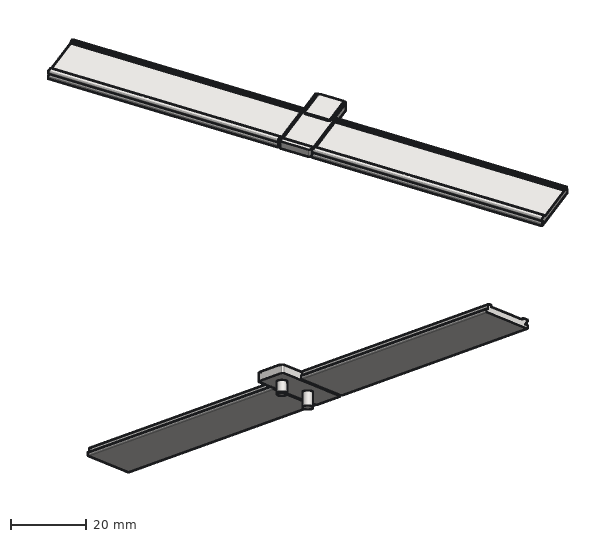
import cadquery as cq
import math

bar_length = 145.0
bar_width = 16.0
bar_height = 2.6
tray_depth = 0.51
tray_z = bar_height - tray_depth
lip_width = 1.7
lip_slope_width = 0.3
tray_front = lip_width + lip_slope_width
tray_back = bar_width - tray_front

flange_height = 1.1
flange_fillet = 0.23
groove_slope = 35.0
front_lip_fillet = 0.26
back_step = 0.51
back_lip_fillet = 0.51

block_width = 9.0
block_depth = 22.5
block_drop = 0.1
block_height = bar_height - block_drop
block_corner = 0.51
block_lip_width = 1.5
tab_depth = 7.8
tab_front = block_depth - tab_depth

pad_width = 7.5
pad_depth = 8.8
pad_corner = 0.51

slit_width = 0.51
skin = 0.22

pin_diameter = 2.9
pin_pitch = 10.0
front_pin_y = bar_width / 2
front_pin_length = 4.4
back_pin_length = 3.6
back_pin_chamfer = 0.3


def box(width, y_start, y_end, z_start, z_end):
    """Box centred on X = 0 between the given Y and Z limits."""
    size_y = y_end - y_start
    size_z = z_end - z_start
    solid = cq.Workplane("XY").box(width, size_y, size_z, centered=(True, False, False))
    return solid.translate((0, y_start, z_start))


def make_tray_space(width):
    """Open space over the tray floor from the block's sloping front lip to the tab."""
    outline = [
        (block_lip_width, bar_height),
        (lip_width, tray_z),
        (tab_front, tray_z),
        (tab_front, bar_height),
    ]
    return cq.Workplane("YZ").polyline(outline).close().extrude(width / 2, both=True)


def fillet_long_edge(bar, y, z, radius):
    """Round the lengthwise edge of the bar at (y, z)."""
    return bar.edges(cq.NearestToPointSelector((0, y, z))).fillet(radius)


def make_bar():
    """Extrude the (Y, Z) section along X, then round its outer edges."""
    half_turn = math.radians((90 + groove_slope) / 2)
    lip_tip = front_lip_fillet * (1 - math.tan(half_turn))
    groove_height = bar_height - flange_height
    groove_bottom = lip_tip + groove_height * math.tan(math.radians(groove_slope))
    back_wall = bar_width - back_step
    section = [
        (0, 0),
        (bar_width, 0),
        (bar_width, flange_height),
        (back_wall, flange_height),
        (back_wall, bar_height),
        (bar_width - lip_width, bar_height),
        (tray_back, tray_z),
        (tray_front, tray_z),
        (lip_width, bar_height),
        (lip_tip, bar_height),
        (groove_bottom, flange_height),
        (0, flange_height),
    ]
    bar = cq.Workplane("YZ").polyline(section).close().extrude(bar_length / 2, both=True)
    for y in (0, bar_width):
        for z in (0, flange_height):
            bar = fillet_long_edge(bar, y, z, flange_fillet)
    bar = fillet_long_edge(bar, lip_tip, bar_height, front_lip_fillet)
    return fillet_long_edge(bar, back_wall, bar_height, back_lip_fillet)


def make_clearance():
    """Space cut from the bar for the block and its slits; a skin of tray floor stays."""
    width = block_width + 2 * slit_width
    below = box(width, 0, bar_width, 0, tray_z - skin)
    front = box(width, 0, block_lip_width, 0, bar_height)
    back = box(width, tab_front, bar_width, 0, bar_height)
    return below.union(front).union(back).union(make_tray_space(width))


def make_block():
    """Block with rounded corners, cut down to the tray floor ahead of the tab."""
    block = box(block_width, 0, block_depth, 0, block_height).edges("|Z").fillet(block_corner)
    return block.cut(make_tray_space(block_width))


def make_pad():
    pad = box(pad_width, block_depth - pad_depth, block_depth, tray_z, bar_height)
    return pad.edges("|Z").fillet(pad_corner)


def make_pin(y, length):
    return cq.Workplane("XY").center(0, y).circle(pin_diameter / 2).extrude(-length)


front_pin = make_pin(front_pin_y, front_pin_length)
back_pin = make_pin(front_pin_y + pin_pitch, back_pin_length).faces("<Z").chamfer(back_pin_chamfer)

result = make_bar().cut(make_clearance())
for feature in (make_block(), make_pad(), front_pin, back_pin):
    result = result.union(feature)